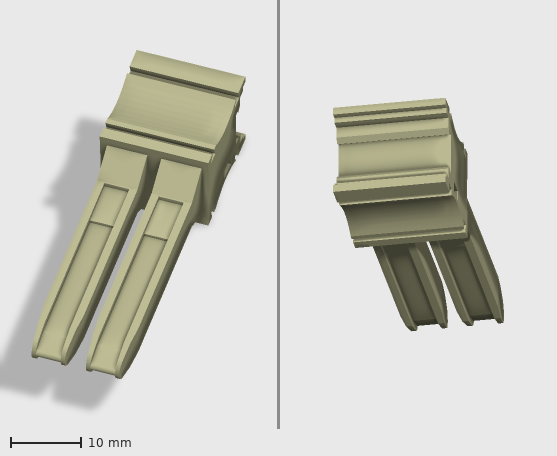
import cadquery as cq


WIDTH = 16.3
LENGTH = 53.4
HEIGHT = 13.6
HALF_HEIGHT = HEIGHT / 2

BLOCK_DEPTH = 17.1
FRONT_HOLLOW = 0.4

LIP_HALF, LIP_DEPTH = 5.7, 1.0
STEP_HALF, STEP_DEPTH = 4.9, 2.5
POCKET_HALF, POCKET_DEPTH = 3.15, 4.3
HOOK_BASE_HALF = 3.3
HOOK_TIP_HALF, HOOK_TIP_DEPTH = 2.6, 3.25

SLOT_FLOOR = 5.4
REAR_SLOT = (3.25, 4.4, 2.85, 4.9)
FRONT_SLOT = (14.4, 15.4, 13.95, 15.8)

HOLLOW_DEPTH = 8.85
HOLLOW_RADIUS = 9.15
HOLLOW_FLOOR = 5.5
HOLLOW_AXIS = HOLLOW_FLOOR + HOLLOW_RADIUS

WINDOW_START, WINDOW_END = 6.6, 9.65
WINDOW_TOP = -3.15
WINDOW_WALL = 0.8

PRONG_X = WIDTH / 4
PRONG_WIDTH = 6.05
PRONG_HALF = 2.5
ROOT_HALF = 5.1
ROOT_END = 21.5
NOSE_START = 49.3
NOSE_ARC_START, NOSE_ARC_HALF = 52.05, 1.8
SIDE_TAPER_START = 46.15
TIP_WIDTH = 4.95

CHANNEL_WIDTH = 3.75
CHANNEL_START = 21.7
SHALLOW_WEB_HALF = 1.8
DEEP_START, DEEP_WEB_HALF = 28.4, 1.35
WEB_NOSE_START = 50.0
WEB_CREASE, WEB_CREASE_HALF = 51.3, 1.0
WEB_ARC_START, WEB_ARC_HALF = 53.0, 0.55


def side_plane(x_start):
    """Sketch plane at X = x_start: first axis +Y, second axis +Z, normal +X."""
    return cq.Workplane("YZ", origin=(x_start, 0, 0))


def side_points(depth_height):
    """Turn (depth, height) pairs into points on the side plane."""
    return [(-depth, height) for depth, height in depth_height]


def both_halves(upper):
    """Follow the upper (depth, height) points, then their mirror image backward."""
    return upper + [(depth, -height) for depth, height in reversed(upper)]


def across_block(depth_height):
    """Extrude a closed side outline over the full block width."""
    outline = side_plane(-WIDTH / 2).polyline(side_points(depth_height)).close()
    return outline.extrude(WIDTH)


def cylinder_across(depth, height, radius):
    return side_plane(-WIDTH / 2).center(-depth, height).circle(radius).extrude(WIDTH)


def make_blank():
    """Block with a concave front face."""
    return (
        side_plane(-WIDTH / 2)
        .moveTo(0, -HALF_HEIGHT)
        .lineTo(0, HALF_HEIGHT)
        .lineTo(-BLOCK_DEPTH, HALF_HEIGHT)
        .threePointArc((-BLOCK_DEPTH + FRONT_HOLLOW, 0), (-BLOCK_DEPTH, -HALF_HEIGHT))
        .close()
        .extrude(WIDTH)
    )


def make_rear_recess():
    """Stepped recess with a small hook on each side of the inner pocket."""
    upper = [
        (0, LIP_HALF),
        (LIP_DEPTH, LIP_HALF),
        (LIP_DEPTH, STEP_HALF),
        (STEP_DEPTH, STEP_HALF),
        (STEP_DEPTH, HOOK_BASE_HALF),
        (HOOK_TIP_DEPTH, HOOK_TIP_HALF),
        (HOOK_TIP_DEPTH, POCKET_HALF),
        (POCKET_DEPTH, POCKET_HALF),
    ]
    return across_block(both_halves(upper))


def make_dovetail(slot, side):
    """Slot wider at its floor than at its mouth; side is +1 for top, -1 for bottom."""
    mouth_start, mouth_end, floor_start, floor_end = slot
    mouth = side * HALF_HEIGHT
    floor = side * SLOT_FLOOR
    return across_block([(mouth_start, mouth), (mouth_end, mouth), (floor_end, floor), (floor_start, floor)])


def make_window():
    """Rectangular opening whose lower side follows the bottom hollow."""
    opening = across_block([
        (WINDOW_START, WINDOW_TOP),
        (WINDOW_END, WINDOW_TOP),
        (WINDOW_END, -HALF_HEIGHT),
        (WINDOW_START, -HALF_HEIGHT),
    ])
    return opening.cut(cylinder_across(HOLLOW_DEPTH, -HOLLOW_AXIS, HOLLOW_RADIUS + WINDOW_WALL))


def make_block():
    block = make_blank().cut(make_rear_recess()).cut(make_window())
    for side in (1, -1):
        block = block.cut(cylinder_across(HOLLOW_DEPTH, side * HOLLOW_AXIS, HOLLOW_RADIUS))
        for slot in (REAR_SLOT, FRONT_SLOT):
            block = block.cut(make_dovetail(slot, side))
    return block


def round_nosed_bar(upper, width):
    """Bar centred on X = 0 from the upper outline points, closed by an arc at the tip."""
    points = side_points(both_halves(upper))
    top, bottom = points[:len(upper)], points[len(upper):]
    return (
        side_plane(-width / 2)
        .polyline(top)
        .threePointArc((-LENGTH, 0), bottom[0])
        .polyline(bottom, includeCurrent=False)
        .close()
        .extrude(width)
    )


def make_prong():
    """Prong centred on X = 0: flared root, two tapering ribs and a thinner web."""
    root_depth = BLOCK_DEPTH - FRONT_HOLLOW
    body = round_nosed_bar(
        [
            (root_depth, ROOT_HALF),
            (BLOCK_DEPTH, ROOT_HALF),
            (ROOT_END, PRONG_HALF),
            (NOSE_START, PRONG_HALF),
            (NOSE_ARC_START, NOSE_ARC_HALF),
        ],
        PRONG_WIDTH,
    )
    web = round_nosed_bar(
        [
            (CHANNEL_START, SHALLOW_WEB_HALF),
            (DEEP_START, SHALLOW_WEB_HALF),
            (DEEP_START, DEEP_WEB_HALF),
            (WEB_NOSE_START, DEEP_WEB_HALF),
            (WEB_CREASE, WEB_CREASE_HALF),
            (WEB_ARC_START, WEB_ARC_HALF),
        ],
        CHANNEL_WIDTH,
    )
    channel_length = LENGTH - CHANNEL_START
    channel = (
        cq.Workplane("XY")
        .box(CHANNEL_WIDTH, channel_length, HEIGHT)
        .translate((0, -CHANNEL_START - channel_length / 2, 0))
    )
    half_width = PRONG_WIDTH / 2
    half_tip = TIP_WIDTH / 2
    plan = (
        cq.Workplane("XY")
        .polyline([
            (-half_width, 0),
            (-half_width, -SIDE_TAPER_START),
            (-half_tip, -LENGTH),
            (half_tip, -LENGTH),
            (half_width, -SIDE_TAPER_START),
            (half_width, 0),
        ])
        .close()
        .extrude(HALF_HEIGHT, both=True)
    )
    return body.intersect(plan).cut(channel).union(web)


result = make_block()
for prong_side in (-1, 1):
    result = result.union(make_prong().translate((prong_side * PRONG_X, 0, 0)))